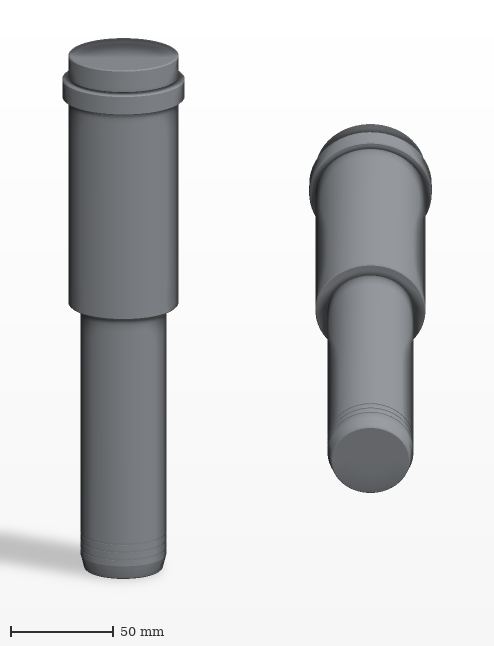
import cadquery as cq

total_length = 263.0
shank_length = 135.2
collar_bottom = 241.0
collar_height = 10.0
neck_gap = 0.5
tip_taper_length = 7.0

collar_diameter = 60.0
head_diameter = 54.0
shank_diameter = 42.0
tip_diameter = 38.7

edge_chamfer = 0.5

groove_count = 3
groove_pitch = 4.0
groove_width = 1.0
groove_depth = 0.3
lowest_groove_bottom = 10.0

collar_top = collar_bottom + collar_height
collar_radius = collar_diameter / 2
head_radius = head_diameter / 2
neck_radius = head_radius - edge_chamfer
shank_radius = shank_diameter / 2
tip_radius = tip_diameter / 2


def turned_body(radius, bottom, top):
    """Cylinder on the Z axis with an equal bevel at each end."""
    body = cq.Workplane("XY").workplane(offset=bottom).circle(radius).extrude(top - bottom)
    return body.faces("<Z or >Z").edges().chamfer(edge_chamfer)


def tapered_shank():
    """Shank with a taper at the tip and a small bevel at each end."""
    points = [
        (0, 0),
        (tip_radius - edge_chamfer, 0),
        (tip_radius, edge_chamfer),
        (shank_radius, tip_taper_length),
        (shank_radius, shank_length - edge_chamfer),
        (shank_radius - edge_chamfer, shank_length),
        (0, shank_length),
    ]
    return cq.Workplane("XZ").polyline(points).close().revolve(360, (0, 0), (0, 1))


def ring_groove(bottom):
    """Ring of material to remove from the shank surface."""
    ring = cq.Workplane("XY").workplane(offset=bottom).circle(shank_radius)
    return ring.circle(shank_radius - groove_depth).extrude(groove_width)


neck_bottom = collar_bottom - neck_gap
neck_top = collar_top + neck_gap
neck = cq.Workplane("XY").workplane(offset=neck_bottom).circle(neck_radius).extrude(neck_top - neck_bottom)

lower_head = turned_body(head_radius, shank_length, neck_bottom)
collar = turned_body(collar_radius, collar_bottom, collar_top)
cap = turned_body(head_radius, neck_top, total_length)

result = tapered_shank().union(lower_head).union(neck).union(collar).union(cap)

for index in range(groove_count):
    result = result.cut(ring_groove(lowest_groove_bottom + index * groove_pitch))